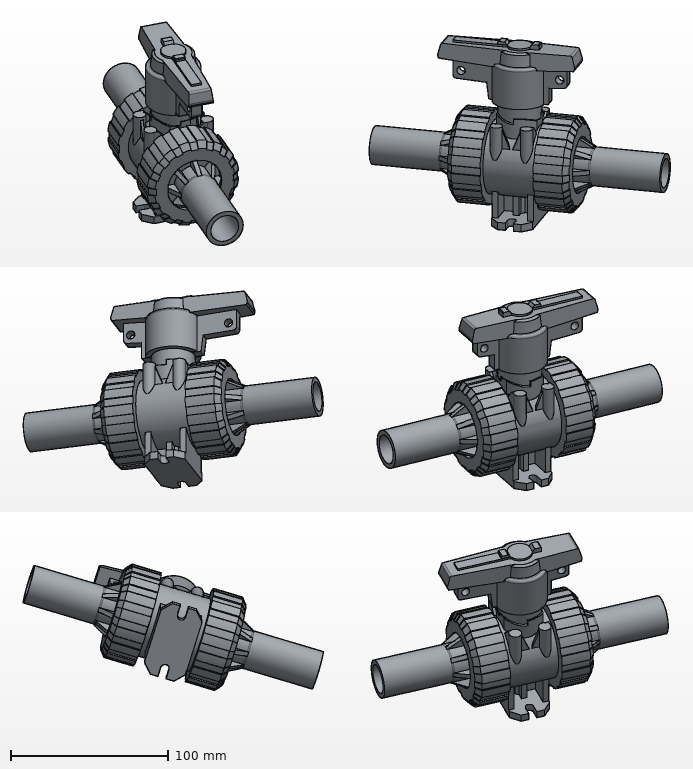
import cadquery as cq
import math


overall_length = 192.0
overall_height = 119.5
bore_radius = 9.5
pipe_radius = 12.5

nut_width = 61.8
nut_inner_x = 17.5
nut_face_x = 40.1
nut_chamfer_length = 3.5
nut_chamfer_depth = 4.0
nut_opening_radius = 18.2
lip_thickness = 3.5
land_count = 16
land_angle = 12.5
groove_depth = 1.0
groove_angle = 360 / land_count - land_angle
land_radius = nut_width / 2 / math.cos(math.radians(groove_angle / 2))
lip_inner_x = nut_face_x - lip_thickness

flange_thickness = 3.8
flange_inner_x = lip_inner_x - flange_thickness
collar_radius = 12.7
collar_x = 49.7
collar_chamfer_length = 1.0
rib_count = 8
rib_thickness = 3.0
rib_slope = 0.55
rib_top_radius = 17.9

body_radius = 24.0
post_radius = 4.0
post_x = 10.0
post_y = 19.2
post_top_z = 28.0
web_thickness = 2.0
front_web_y = 20.0
side_web_x = 13.8
vee_bottom_half_gap = 0.8
front_vee_bottom_z = 13.0
front_vee_top_half_gap = 7.0
side_vee_bottom_z = 13.0
side_vee_top_half_gap = 15.4
neck_radius = 15.0
neck_half_width = 13.2

crown_top_z = 32.0
crown_low_z = 28.5
crown_base_z = 19.2
crown_flat_length = 6.1
crown_mid_point = (10.4, 31.0)
tooth_count = 4

foot_bottom_z = -40.1
foot_thickness = 5.0
foot_half_x = 13.6
foot_half_y = 24.2
foot_chamfer_x = 5.8
foot_chamfer_y = 6.1
slot_width = 5.4
slot_center_y = 18.0
pedestal_half_y = 16.5
pedestal_wall = 3.8
pedestal_boss_radius = 4.5
pedestal_rib_half_y = 8.5
foot_top_z = foot_bottom_z + foot_thickness

stem_radius = 14.0
stem_top_z = 51.0
hub_radius = 17.7
hub_edge_z = 65.0
shoulder_mid_point = (16.9, 66.5)
shoulder_end = (15.5, 66.8)
cone_base = (14.5, 67.0)
cone_top = (13.6, 74.9)
hub_top_radius = 12.0
hub_bottom_z = 39.7
hub_slot_half_width = 4.5

bar_bottom_z = 64.5
bar_end_bottom_z = 66.0
bar_rim_z = 68.7
bar_top_z = 76.0
bar_left_x = -38.8
bar_right_x = 51.8
bar_left_half_width = 9.6
bar_middle_half_width = 11.3
bar_right_half_width = 8.6
bar_end_inset = 2.0
bar_end_overrun = bar_end_inset * (bar_rim_z - bar_bottom_z) / (bar_top_z - bar_rim_z)
bar_side_inset = 1.2
bar_end_fillet = 1.5
bar_end_chamfer = 0.5
bar_end_chamfer_z = 67.4
bar_flat_half_length = 13.5

fin_half_thickness = 3.5
fin_left_x = -32.0
fin_right_x = 43.2
fin_end_z = 51.8
fin_step_z = 50.9
fin_step_left_x = -20.2
fin_step_right_x = 21.0
fin_foot_right_x = 19.5
fin_corner_fillet = 2.3
fin_foot_fillet = 1.0
fin_hole_radius = 2.7
fin_hole_z = 57.2
fin_hole_left_x = -27.3
fin_hole_right_x = 37.8

cap_radius = 8.0
strip_half_width = 3.5
cap_top_z = 77.4
pointer_top_z = foot_bottom_z + overall_height
pointer_half_width = 3.3
pointer_outer_x = 13.6
pointer_inner_x = 7.5
pointer_inner_slope = 1.5
pointer_outer_chamfer = 0.5


def cylinder_x(radius, x_start, x_end):
    return cq.Workplane("YZ", origin=(x_start, 0, 0)).circle(radius).extrude(x_end - x_start)


def cylinder_z(radius, z_start, z_end):
    return cq.Workplane("XY", origin=(0, 0, z_start)).circle(radius).extrude(z_end - z_start)


def block(x_range, y_range, z_range):
    sizes = [high - low for low, high in (x_range, y_range, z_range)]
    corner = (x_range[0], y_range[0], z_range[0])
    return cq.Workplane("XY", origin=corner).box(*sizes, centered=False)


def revolve_x(points, angle=360):
    """Revolves (x, radius) points about the pipe axis."""
    return cq.Workplane("XY").polyline(points).close().revolve(angle, (0, 0, 0), (1, 0, 0))


def extrude_y(points, half_thickness):
    """Extrudes (x, z) points to both sides of the plane y = 0."""
    return cq.Workplane("XZ").polyline(points).close().extrude(half_thickness, both=True)


def extrude_x(points, half_thickness):
    """Extrudes (y, z) points to both sides of the plane x = 0."""
    return cq.Workplane("YZ").polyline(points).close().extrude(half_thickness, both=True)


def on_both_ends(right_body):
    return right_body, right_body.rotate((0, 0, 0), (0, 0, 1), 180)


def nut_ring(radius, angle):
    """Chamfered ring around the housing, or a sector of one."""
    return revolve_x(
        [
            (nut_inner_x, body_radius),
            (nut_inner_x, radius),
            (nut_face_x - nut_chamfer_length, radius),
            (nut_face_x, radius - nut_chamfer_depth),
            (nut_face_x, body_radius),
        ],
        angle,
    )


def make_nut():
    nut = nut_ring(land_radius - groove_depth, 360)
    land = nut_ring(land_radius, land_angle)
    pitch = 360 / land_count
    for index in range(land_count):
        nut = nut.union(land.rotate((0, 0, 0), (1, 0, 0), groove_angle / 2 + index * pitch))
    lip = cylinder_x(body_radius, lip_inner_x, nut_face_x).cut(
        cylinder_x(nut_opening_radius, lip_inner_x, nut_face_x)
    )
    return nut.union(lip)


def make_pipe_end():
    pipe = revolve_x(
        [
            (flange_inner_x, bore_radius),
            (flange_inner_x, body_radius),
            (lip_inner_x, body_radius),
            (lip_inner_x, collar_radius),
            (collar_x - collar_chamfer_length, collar_radius),
            (collar_x, pipe_radius),
            (overall_length / 2, pipe_radius),
            (overall_length / 2, bore_radius),
        ]
    )
    root_radius = (bore_radius + pipe_radius) / 2
    rib_top_x = collar_x - (rib_top_radius - pipe_radius) / rib_slope
    rib = extrude_y(
        [
            (lip_inner_x, root_radius),
            (lip_inner_x, rib_top_radius),
            (rib_top_x, rib_top_radius),
            (collar_x, pipe_radius),
            (collar_x, root_radius),
        ],
        rib_thickness / 2,
    )
    for index in range(rib_count):
        pipe = pipe.union(rib.rotate((0, 0, 0), (1, 0, 0), index * 360 / rib_count))
    return pipe


def make_crown():
    """Four ratchet teeth, each level at first and then falling over a quarter turn."""
    tooth = (
        cq.Workplane("XZ")
        .moveTo(0, crown_base_z)
        .lineTo(0, crown_top_z)
        .lineTo(crown_flat_length, crown_top_z)
        .threePointArc(crown_mid_point, (neck_radius, crown_low_z))
        .lineTo(neck_radius, crown_base_z)
        .close()
        .extrude(neck_radius)
    )
    crown = tooth
    for index in range(1, tooth_count):
        crown = crown.union(tooth.rotate((0, 0, 0), (0, 0, 1), index * 360 / tooth_count))
    return crown


def make_neck():
    neck = cylinder_z(neck_radius, 0, crown_top_z)
    sides = block((-neck_half_width, neck_half_width), (-neck_radius, neck_radius), (0, crown_top_z))
    low_part = cylinder_z(neck_radius, 0, crown_base_z)
    return neck.intersect(low_part.union(make_crown())).intersect(sides)


def vee_outline(bottom_z, top_half_gap):
    return [
        (-vee_bottom_half_gap, bottom_z),
        (vee_bottom_half_gap, bottom_z),
        (top_half_gap, post_top_z),
        (-top_half_gap, post_top_z),
    ]


def make_web_frame():
    """Square frame joining the posts, with a V notch in each of its four walls."""
    heights = (0, post_top_z)
    inner_x = side_web_x - web_thickness
    inner_y = front_web_y - web_thickness
    frame = block((-side_web_x, side_web_x), (-front_web_y, front_web_y), heights)
    frame = frame.cut(block((-inner_x, inner_x), (-inner_y, inner_y), heights))
    frame = frame.cut(extrude_y(vee_outline(front_vee_bottom_z, front_vee_top_half_gap), front_web_y))
    return frame.cut(extrude_x(vee_outline(side_vee_bottom_z, side_vee_top_half_gap), side_web_x))


def make_posts():
    return (
        cq.Workplane("XY")
        .rect(2 * post_x, 2 * post_y, forConstruction=True)
        .vertices()
        .circle(post_radius)
        .extrude(post_top_z)
    )


def make_foot():
    straight_x = foot_half_x - foot_chamfer_x
    straight_y = foot_half_y - foot_chamfer_y
    foot = (
        cq.Workplane("XY", origin=(0, 0, foot_bottom_z))
        .polyline(
            [
                (-foot_half_x, -straight_y),
                (-straight_x, -foot_half_y),
                (straight_x, -foot_half_y),
                (foot_half_x, -straight_y),
                (foot_half_x, straight_y),
                (straight_x, foot_half_y),
                (-straight_x, foot_half_y),
                (-foot_half_x, straight_y),
            ]
        )
        .close()
        .extrude(foot_thickness)
    )
    slot_length = 2 * (foot_half_y - slot_center_y) + slot_width
    slots = (
        cq.Workplane("XY", origin=(0, 0, foot_bottom_z))
        .pushPoints([(0, -foot_half_y), (0, foot_half_y)])
        .slot2D(slot_length, slot_width, 90)
        .extrude(foot_thickness)
    )
    return foot.cut(slots)


def make_pedestal():
    heights = (foot_top_z, 0)
    depth = (-pedestal_half_y, pedestal_half_y)
    rib_depth = (-pedestal_rib_half_y, pedestal_rib_half_y)
    half_wall = pedestal_wall / 2
    pedestal = cylinder_z(pedestal_boss_radius, *heights)
    pedestal = pedestal.union(block((-half_wall, half_wall), rib_depth, heights))
    pedestal = pedestal.union(block((-foot_half_x, foot_half_x), (-half_wall, half_wall), heights))
    for wall_x in (-foot_half_x, foot_half_x - pedestal_wall):
        pedestal = pedestal.union(block((wall_x, wall_x + pedestal_wall), depth, heights))
    return pedestal


def make_housing():
    housing = cylinder_x(body_radius, -flange_inner_x, flange_inner_x)
    for feature in (make_neck(), make_posts(), make_web_frame(), make_foot(), make_pedestal()):
        housing = housing.union(feature)
    return housing.cut(cylinder_x(bore_radius, -flange_inner_x, flange_inner_x))


def make_hub():
    return (
        cq.Workplane("XZ")
        .moveTo(0, hub_bottom_z)
        .lineTo(hub_radius, hub_bottom_z)
        .lineTo(hub_radius, hub_edge_z)
        .threePointArc(shoulder_mid_point, shoulder_end)
        .lineTo(*cone_base)
        .lineTo(*cone_top)
        .lineTo(hub_top_radius, bar_top_z)
        .lineTo(0, bar_top_z)
        .close()
        .revolve(360, (0, 0, 0), (0, 1, 0))
    )


def bar_outline(end_inset, side_inset):
    left = bar_left_x + end_inset
    right = bar_right_x - end_inset
    return [
        (left, -bar_left_half_width + side_inset),
        (0, -bar_middle_half_width + side_inset),
        (right, -bar_right_half_width + side_inset),
        (right, bar_right_half_width - side_inset),
        (0, bar_middle_half_width - side_inset),
        (left, bar_left_half_width - side_inset),
    ]


def make_bar():
    drafted_bar = (
        cq.Workplane("XY", origin=(0, 0, bar_bottom_z))
        .polyline(bar_outline(-bar_end_overrun, 0))
        .close()
        .workplane(offset=bar_top_z - bar_bottom_z)
        .polyline(bar_outline(bar_end_inset, bar_side_inset))
        .close()
        .loft(ruled=True)
    )
    upright_ends = block(
        (bar_left_x, bar_right_x),
        (-bar_middle_half_width, bar_middle_half_width),
        (bar_bottom_z, bar_top_z),
    )
    bar = drafted_bar.intersect(upright_ends).faces(">Z").edges("|Y").fillet(bar_end_fillet)
    for end_x, side in ((bar_left_x, -1), (bar_right_x, 1)):
        rising_underside = [
            (side * bar_flat_half_length, bar_bottom_z),
            (end_x - side * bar_end_chamfer, bar_end_bottom_z),
            (end_x, bar_end_chamfer_z),
            (end_x, bar_bottom_z),
        ]
        bar = bar.cut(extrude_y(rising_underside, bar_middle_half_width))
    return bar


def make_fin():
    fin = extrude_y(
        [
            (fin_left_x, bar_end_bottom_z),
            (fin_left_x, fin_end_z),
            (fin_step_left_x, fin_step_z),
            (fin_step_left_x, hub_bottom_z),
            (fin_foot_right_x, hub_bottom_z),
            (fin_step_right_x, fin_step_z),
            (fin_right_x, fin_end_z),
            (fin_right_x, bar_end_bottom_z),
        ],
        fin_half_thickness,
    )
    for end_face in ("<X", ">X"):
        fin = fin.faces(end_face).edges("<Z").fillet(fin_corner_fillet)
    fin = fin.faces("<Z").edges("|Y").fillet(fin_foot_fillet)
    holes = (
        cq.Workplane("XZ")
        .pushPoints([(fin_hole_left_x, fin_hole_z), (fin_hole_right_x, fin_hole_z)])
        .circle(fin_hole_radius)
        .extrude(fin_half_thickness, both=True)
    )
    return fin.cut(holes)


def make_pointer():
    return extrude_y(
        [
            (pointer_outer_x, bar_top_z),
            (pointer_outer_x, pointer_top_z - pointer_outer_chamfer),
            (pointer_outer_x - pointer_outer_chamfer, pointer_top_z),
            (pointer_inner_x + pointer_inner_slope, pointer_top_z),
            (pointer_inner_x, cap_top_z),
            (pointer_inner_x, bar_top_z),
        ],
        pointer_half_width,
    )


def make_handle():
    slot = block(
        (-hub_radius, hub_radius),
        (-hub_slot_half_width, hub_slot_half_width),
        (hub_bottom_z, bar_end_bottom_z),
    )
    stem = cylinder_z(stem_radius, crown_base_z, stem_top_z).cut(make_crown())
    strip = block((0, fin_right_x), (-strip_half_width, strip_half_width), (bar_top_z, cap_top_z))
    handle = make_hub().cut(slot)
    for feature in (stem, make_bar(), make_fin(), cylinder_z(cap_radius, bar_top_z, cap_top_z), strip):
        handle = handle.union(feature)
    for pointer in on_both_ends(make_pointer()):
        handle = handle.union(pointer)
    return handle


housing = make_housing()
handle = make_handle()
nuts = on_both_ends(make_nut())
pipe_ends = on_both_ends(make_pipe_end())

result = cq.Compound.makeCompound(
    [
        housing.val(),
        handle.val(),
        *[nut.val() for nut in nuts],
        *[pipe_end.val() for pipe_end in pipe_ends],
    ]
)